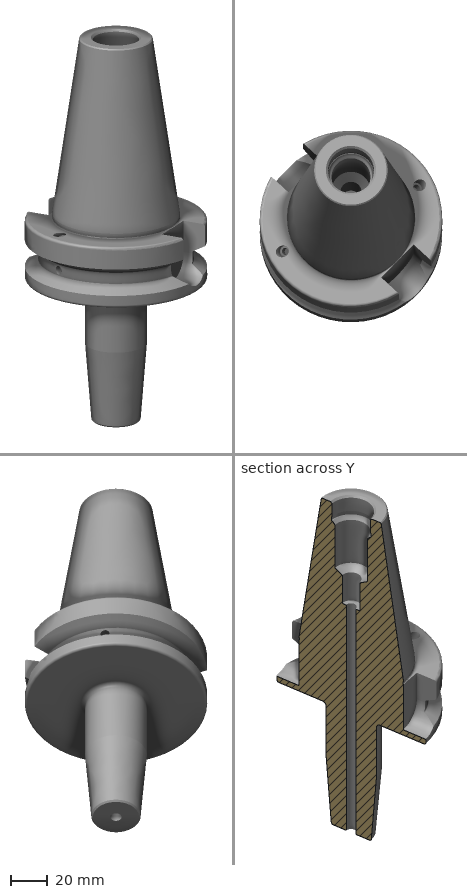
import cadquery as cq
import math

TOTAL_HEIGHT = 221.8
FLANGE_BOTTOM = 82.0
FLANGE_TOP = 117.0
GAUGE_HEIGHT = 120.0
NOSE_TAPER_TOP = 44.8

GAUGE_RADIUS = 35.0
TAPER_PER_LENGTH = 7 / 24
TAPER_TOP_RADIUS = GAUGE_RADIUS - (TOTAL_HEIGHT - GAUGE_HEIGHT) * TAPER_PER_LENGTH / 2
TAPER_TOP_CHAMFER = 0.7
COLLAR_HEIGHT = 1.0
NECK_RADIUS = 34.8
NECK_FILLET = 0.5

FLANGE_DIAMETER = 100.0
FLANGE_RADIUS = FLANGE_DIAMETER / 2
FLANGE_FILLET = 1.5
GROOVE_FLOOR_RADIUS = 42.5
GROOVE_FLOOR_BOTTOM = 93.4
GROOVE_FLOOR_TOP = 100.3
GROOVE_FILLET = 0.5
GROOVE_SIDE_RISE = 4.2

SLOT_WIDTH = 25.7
SLOT_FLOOR_X = 35.0
SLOT_BOTTOM = 86.0

SHANK_DIAMETER = 34.0
SHANK_RADIUS = SHANK_DIAMETER / 2
SHANK_FILLET = 2.5
NOSE_END_RADIUS = 13.5
NOSE_CHAMFER = 0.9

BORE_RADIUS = 12.6
BORE_CHAMFER = 1.0
BORE_DEPTH = 12.9
RELIEF_RADIUS = 13.0
RELIEF_HEIGHT = 2.7
THREAD_RADIUS = 10.6
THREAD_DEPTH = 44.4
PILOT_RADIUS = 5.8
PILOT_DEPTH = 66.5
DRILL_HALF_ANGLE = 59
THROUGH_RADIUS = 3.0

COOLANT_ANGLE = 70
COOLANT_RADIUS_AT_FACE = 42.0
COOLANT_TILT = 30
COOLANT_MOUTH_DIAMETER = 6.5
COOLANT_MOUTH_DEPTH = 3.3
COOLANT_DRILL_DIAMETER = 4.0
COOLANT_DRILL_DEPTH = 6.7
CROSS_HEIGHT = 96.7
CROSS_MOUTH_DIAMETER = 4.9
CROSS_MOUTH_DEPTH = 3.3
CROSS_DRILL_DIAMETER = 2.9
CROSS_DRILL_DEPTH = 5.5

CUTTER_OVERLAP = 2.2


def body():
    """Turned outer shape with the corners of the groove floor rounded."""
    groove_bottom = GROOVE_FLOOR_BOTTOM - GROOVE_SIDE_RISE
    groove_top = GROOVE_FLOOR_TOP + GROOVE_SIDE_RISE
    profile = (
        cq.Workplane("XZ")
        .moveTo(0, 0)
        .lineTo(NOSE_END_RADIUS - NOSE_CHAMFER, 0)
        .lineTo(NOSE_END_RADIUS, NOSE_CHAMFER)
        .lineTo(SHANK_RADIUS, NOSE_TAPER_TOP)
        .lineTo(SHANK_RADIUS, FLANGE_BOTTOM - SHANK_FILLET)
        .radiusArc((SHANK_RADIUS + SHANK_FILLET, FLANGE_BOTTOM), SHANK_FILLET)
        .lineTo(FLANGE_RADIUS - FLANGE_FILLET, FLANGE_BOTTOM)
        .radiusArc((FLANGE_RADIUS, FLANGE_BOTTOM + FLANGE_FILLET), -FLANGE_FILLET)
        .lineTo(FLANGE_RADIUS, groove_bottom)
        .lineTo(GROOVE_FLOOR_RADIUS, GROOVE_FLOOR_BOTTOM)
        .lineTo(GROOVE_FLOOR_RADIUS, GROOVE_FLOOR_TOP)
        .lineTo(FLANGE_RADIUS, groove_top)
        .lineTo(FLANGE_RADIUS, FLANGE_TOP - FLANGE_FILLET)
        .radiusArc((FLANGE_RADIUS - FLANGE_FILLET, FLANGE_TOP), -FLANGE_FILLET)
        .lineTo(NECK_RADIUS + NECK_FILLET, FLANGE_TOP)
        .radiusArc((NECK_RADIUS, FLANGE_TOP + NECK_FILLET), NECK_FILLET)
        .lineTo(NECK_RADIUS, GAUGE_HEIGHT - COLLAR_HEIGHT)
        .lineTo(GAUGE_RADIUS, GAUGE_HEIGHT - COLLAR_HEIGHT)
        .lineTo(GAUGE_RADIUS, GAUGE_HEIGHT)
        .lineTo(TAPER_TOP_RADIUS, TOTAL_HEIGHT - TAPER_TOP_CHAMFER)
        .lineTo(TAPER_TOP_RADIUS - TAPER_TOP_CHAMFER, TOTAL_HEIGHT)
        .lineTo(0, TOTAL_HEIGHT)
        .close()
    )
    turned = profile.revolve(360, (0, 0, 0), (0, 1, 0))
    groove_edges = cq.selectors.BoxSelector(
        (-FLANGE_RADIUS, -FLANGE_RADIUS, GROOVE_FLOOR_BOTTOM - GROOVE_FILLET),
        (FLANGE_RADIUS, FLANGE_RADIUS, GROOVE_FLOOR_TOP + GROOVE_FILLET),
    )
    return turned.edges("%CIRCLE").edges(groove_edges).fillet(GROOVE_FILLET)


def central_bore():
    """Chamfered bore with relief groove, thread-size bore, drill cone, pilot and through hole."""
    relief_bottom = TOTAL_HEIGHT - BORE_DEPTH
    relief_top = relief_bottom + RELIEF_HEIGHT
    drill_tip_height = (THREAD_RADIUS - PILOT_RADIUS) / math.tan(math.radians(DRILL_HALF_ANGLE))
    profile = (
        cq.Workplane("XZ")
        .moveTo(0, TOTAL_HEIGHT)
        .lineTo(BORE_RADIUS + BORE_CHAMFER, TOTAL_HEIGHT)
        .lineTo(BORE_RADIUS, TOTAL_HEIGHT - BORE_CHAMFER)
        .lineTo(BORE_RADIUS, relief_top)
        .lineTo(RELIEF_RADIUS, relief_top)
        .lineTo(RELIEF_RADIUS, relief_bottom)
        .lineTo(BORE_RADIUS, relief_bottom)
        .lineTo(THREAD_RADIUS, relief_bottom - (BORE_RADIUS - THREAD_RADIUS))
        .lineTo(THREAD_RADIUS, TOTAL_HEIGHT - THREAD_DEPTH)
        .lineTo(PILOT_RADIUS, TOTAL_HEIGHT - THREAD_DEPTH - drill_tip_height)
        .lineTo(PILOT_RADIUS, TOTAL_HEIGHT - PILOT_DEPTH)
        .lineTo(THROUGH_RADIUS, TOTAL_HEIGHT - PILOT_DEPTH)
        .lineTo(THROUGH_RADIUS, 0)
        .lineTo(0, 0)
        .close()
    )
    return profile.revolve(360, (0, 0, 0), (0, 1, 0))


def drive_slot():
    """Round-bottomed slot on the +X side, open at the top and outside."""
    arc_height = SLOT_BOTTOM + SLOT_WIDTH / 2
    length = FLANGE_RADIUS - SLOT_FLOOR_X + CUTTER_OVERLAP
    return (
        cq.Workplane("YZ", origin=(SLOT_FLOOR_X, 0, 0))
        .moveTo(-SLOT_WIDTH / 2, FLANGE_TOP)
        .lineTo(-SLOT_WIDTH / 2, arc_height)
        .threePointArc((0, SLOT_BOTTOM), (SLOT_WIDTH / 2, arc_height))
        .lineTo(SLOT_WIDTH / 2, FLANGE_TOP)
        .close()
        .extrude(length)
    )


def stepped_hole(entry, direction, mouth_diameter, mouth_depth, drill_diameter, drill_depth):
    """Wide mouth followed by a narrower drilling; both depths run along the hole from the entry point."""
    start = entry - direction * CUTTER_OVERLAP
    mouth = cq.Solid.makeCylinder(mouth_diameter / 2, mouth_depth + CUTTER_OVERLAP, start, direction)
    drill = cq.Solid.makeCylinder(drill_diameter / 2, drill_depth + CUTTER_OVERLAP, start, direction)
    return cq.Workplane(mouth).union(cq.Workplane(drill))


def coolant_holes():
    """Leaning hole in the flange face and radial hole in the groove floor, both in the XZ plane."""
    tilt = math.radians(COOLANT_TILT)
    face_hole = stepped_hole(
        cq.Vector(COOLANT_RADIUS_AT_FACE, 0, FLANGE_TOP),
        cq.Vector(-math.sin(tilt), 0, -math.cos(tilt)),
        COOLANT_MOUTH_DIAMETER, COOLANT_MOUTH_DEPTH, COOLANT_DRILL_DIAMETER, COOLANT_DRILL_DEPTH,
    )
    cross_hole = stepped_hole(
        cq.Vector(GROOVE_FLOOR_RADIUS, 0, CROSS_HEIGHT),
        cq.Vector(-1, 0, 0),
        CROSS_MOUTH_DIAMETER, CROSS_MOUTH_DEPTH, CROSS_DRILL_DIAMETER, CROSS_DRILL_DEPTH,
    )
    return face_hole.union(cross_hole)


result = body().cut(central_bore())
for half_turn in (0, 180):
    result = result.cut(drive_slot().rotate((0, 0, 0), (0, 0, 1), half_turn))
    result = result.cut(coolant_holes().rotate((0, 0, 0), (0, 0, 1), COOLANT_ANGLE + half_turn))